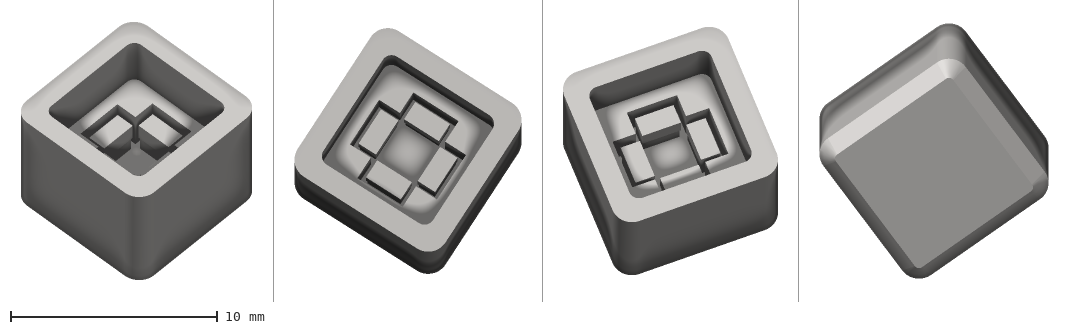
import cadquery as cq

body_side = 8.5
body_height = 6.9
body_corner_radius = 1.0
bottom_chamfer = 0.75

pocket_side = 6.3
pocket_depth = 2.7
pocket_corner_radius = 0.5

cross_span = 5.0
cross_arm_width = 2.6
cross_depth = 2.0

post_clearance = 0.3
post_thickness = 1.0
post_top_drop = 0.3
head_height = 0.9
neck_inset = 0.05

post_width = cross_arm_width - 2 * post_clearance
post_center_distance = cross_span / 2 - post_clearance - post_thickness / 2
neck_height = cross_depth - post_top_drop - head_height
pocket_floor_z = body_height - pocket_depth
cross_floor_z = pocket_floor_z - cross_depth
head_base_z = cross_floor_z + neck_height


def upright_box(length, width, height, base_z):
    """Box centred on the Z axis, rising from base_z."""
    return (
        cq.Workplane("XY")
        .workplane(offset=base_z)
        .rect(length, width)
        .extrude(height)
    )


def make_body():
    body = upright_box(body_side, body_side, body_height, 0)
    body = body.edges("|Z").fillet(body_corner_radius)
    return body.faces("<Z").edges().chamfer(bottom_chamfer)


def make_pocket():
    pocket = upright_box(pocket_side, pocket_side, pocket_depth, pocket_floor_z)
    return pocket.edges("|Z").fillet(pocket_corner_radius)


def make_cross():
    arm_along_x = upright_box(cross_span, cross_arm_width, cross_depth, cross_floor_z)
    arm_along_y = upright_box(cross_arm_width, cross_span, cross_depth, cross_floor_z)
    return arm_along_x.union(arm_along_y)


def make_post(angle):
    head = upright_box(post_thickness, post_width, head_height, head_base_z)
    neck = upright_box(
        post_thickness - 2 * neck_inset,
        post_width - 2 * neck_inset,
        neck_height,
        cross_floor_z,
    )
    post = head.union(neck).translate((post_center_distance, 0, 0))
    return post.rotate((0, 0, 0), (0, 0, 1), angle)


result = make_body().cut(make_pocket()).cut(make_cross())
for post_angle in (0, 90, 180, 270):
    result = result.union(make_post(post_angle))